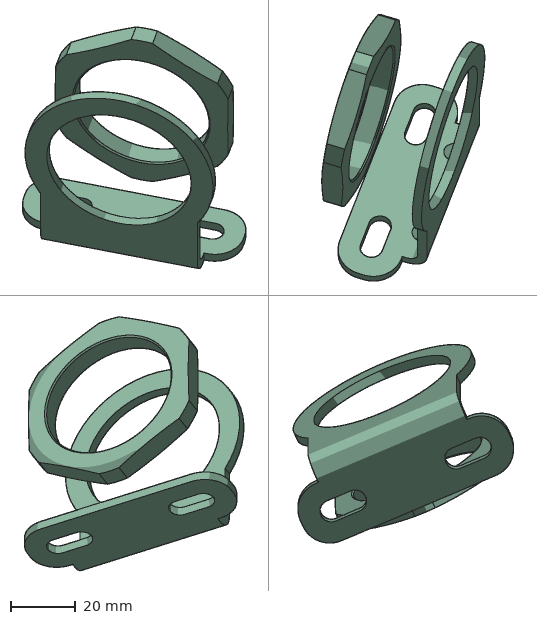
import cadquery as cq
import math

thickness = 3.0
total_height = 70.0
ring_diameter = 60.0
ring_hole_diameter = 46.0
web_width = 50.0
bend_inner_radius = 3.7
bend_outer_radius = bend_inner_radius + thickness
axis_height = total_height - ring_diameter / 2

foot_length = 70.0
foot_back = 28.0
foot_front = 8.0
foot_depth = foot_back - foot_front
foot_center = (foot_back + foot_front) / 2
foot_corner_radius = 9.0
slot_length = 15.0
slot_width = 7.0
slot_spacing = 42.0

bead_radius = 3.6
bead_spacing = 30.0
bead_blank_length = 21.0

nut_back = 33.4
nut_thickness = 7.0
nut_front = nut_back - nut_thickness
nut_across_flats = 55.0
nut_corner_diameter = 60.0
nut_face_diameter = 54.5
nut_chamfer_depth = 0.6
nut_bore_diameter = 42.9
nut_bore_chamfer = 0.5


def cylinder_along_y(diameter, y_start, length):
    """Cylinder on the ring axis, running toward +Y."""
    plane = cq.Plane(origin=(0, y_start, axis_height), xDir=(1, 0, 0), normal=(0, 1, 0))
    return cq.Workplane(plane).circle(diameter / 2).extrude(length)


def make_bent_web():
    """L-shaped strip with rounded bend, reaching from the foot up to the ring axis."""
    arc_step = math.sqrt(0.5)
    bend_center = bend_outer_radius
    outer_middle = bend_center - bend_outer_radius * arc_step
    inner_middle = bend_center - bend_inner_radius * arc_step
    return (
        cq.Workplane("YZ")
        .moveTo(0, axis_height)
        .lineTo(0, bend_center)
        .threePointArc((outer_middle, outer_middle), (bend_center, 0))
        .lineTo(foot_center, 0)
        .lineTo(foot_center, thickness)
        .lineTo(bend_center, thickness)
        .threePointArc((inner_middle, inner_middle), (thickness, bend_center))
        .lineTo(thickness, axis_height)
        .close()
        .extrude(web_width / 2, both=True)
    )


def make_foot():
    """Flat rounded foot plate."""
    return (
        cq.Workplane("XY")
        .center(0, foot_center)
        .rect(foot_length, foot_depth)
        .extrude(thickness)
        .edges("|Z")
        .fillet(foot_corner_radius)
    )


def make_beads():
    """Round 45 degree beads whose axes pass through the corner of the inner faces."""
    plane = cq.Plane(origin=(0, thickness, thickness), xDir=(1, 0, 0), normal=(0, 1, -1))
    blanks = (
        cq.Workplane(plane)
        .pushPoints([(-bead_spacing / 2, 0), (bead_spacing / 2, 0)])
        .circle(bead_radius)
        .extrude(bead_blank_length / 2, both=True)
    )
    inner_corner = cq.Workplane("XY").box(
        web_width, foot_depth, axis_height, centered=(True, False, False)
    )
    return blanks.intersect(inner_corner.translate((0, thickness, thickness)))


def make_bracket():
    """Bent sheet bracket with a ring on top and a slotted foot."""
    slots = (
        cq.Workplane("XY")
        .pushPoints([(-slot_spacing / 2, foot_center), (slot_spacing / 2, foot_center)])
        .slot2D(slot_length, slot_width)
        .extrude(thickness)
    )
    return (
        make_bent_web()
        .union(cylinder_along_y(ring_diameter, 0, thickness))
        .union(make_foot())
        .union(make_beads())
        .cut(cylinder_along_y(ring_hole_diameter, 0, thickness))
        .cut(slots)
    )


def make_nut():
    """Hexagon nut with rounded corners, conical rims and a chamfered bore."""
    hexagon_diameter = nut_across_flats / math.cos(math.pi / 6)
    hexagon = (
        cq.Workplane("XY")
        .polygon(6, hexagon_diameter)
        .extrude(nut_thickness)
        .rotate((0, 0, 0), (0, 0, 1), 90)
        .rotate((0, 0, 0), (1, 0, 0), -90)
        .translate((0, nut_front, axis_height))
    )
    bore_radius = nut_bore_diameter / 2
    bore_rim_radius = bore_radius + nut_bore_chamfer
    face_radius = nut_face_diameter / 2
    corner_radius = nut_corner_diameter / 2
    turned_envelope = (
        cq.Workplane("XY")
        .polyline([
            (bore_rim_radius, nut_front),
            (face_radius, nut_front),
            (corner_radius, nut_front + nut_chamfer_depth),
            (corner_radius, nut_back - nut_chamfer_depth),
            (face_radius, nut_back),
            (bore_rim_radius, nut_back),
            (bore_radius, nut_back - nut_bore_chamfer),
            (bore_radius, nut_front + nut_bore_chamfer),
        ])
        .close()
        .revolve(360, (0, 0, 0), (0, 1, 0))
        .translate((0, 0, axis_height))
    )
    return hexagon.intersect(turned_envelope)


bracket = make_bracket()
nut = make_nut()
result = cq.Compound.makeCompound([bracket.val(), nut.val()])